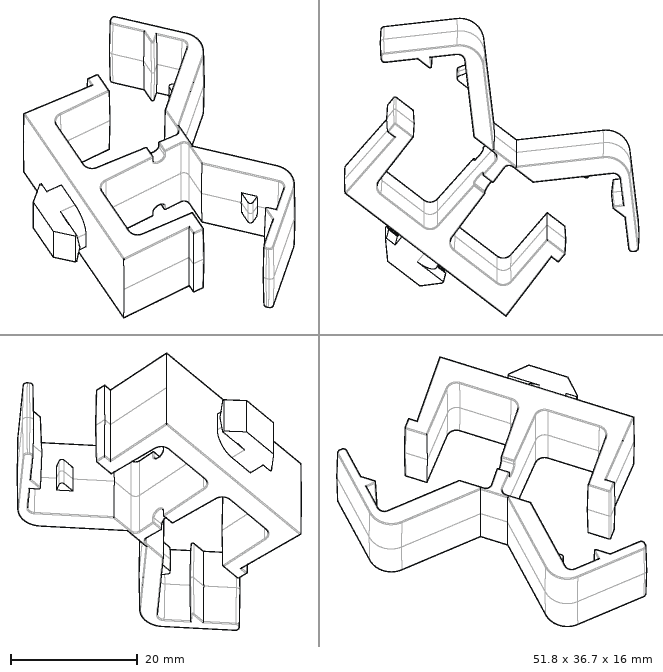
import cadquery as cq
import math

height = 16.0
half_height = height / 2
draft_angle = 0.7
edge_round = 0.15

base_y = 5.5
floor_y = 9.05
base_half_width = 16.3
wall_outer_top_x = 15.9
wall_inner_top_x = 13.35
wall_inner_bottom_x = 13.1
lip_outer_x = 17.3
lip_under_y = 17.45
lip_top_y = 19.5
lip_radius = 0.25
channel_radius = 1.55

web_half_bottom = 1.65
web_half_top = 1.0
web_top_radius = 0.95
notch_y = 20.3
notch_radius = 1.05
notch_depth = 2.1

wing_under_y = 25.2
valley_y = 25.8
valley_half_width = 2.2
ridge_x = 14.7
inner_arm_thickness = 3.1
outer_arm_thickness = 1.75
ridge_radius = 3.85
ridge_inner_radius = 1.15
wing_span = 51.75
tip_radius = 0.6

catch_root_x = 19.25
catch_under_y = 29.7
catch_tip_radius = 0.25
stop_half_height = 2.65
stop_root_x = 12.45
stop_tip_x = 13.55
stop_under_y = 29.8
stop_tip_radius = 0.45

foot_half_height = 3.5
head_half_width = 5.75
head_tip_half_width = 3.25
head_taper_y = 2.6
head_edge_y = 2.85
head_crest_y = 3.4
neck_half_width = 4.0
foot_overlap = 0.5


def unit_vector(start, end):
    length = math.dist(start, end)
    return ((end[0] - start[0]) / length, (end[1] - start[1]) / length)


def rounded_wire(corners, z):
    """Closed wire at height z from (x, y, radius) corners; a radius of zero stays sharp."""
    stretches = []
    for i, (x, y, radius) in enumerate(corners):
        corner = (x, y)
        if radius == 0:
            stretches.append([corner])
            continue
        to_previous = unit_vector(corner, corners[i - 1][:2])
        to_next = unit_vector(corner, corners[(i + 1) % len(corners)][:2])
        cosine = to_previous[0] * to_next[0] + to_previous[1] * to_next[1]
        half_angle = math.acos(cosine) / 2
        setback = radius / math.tan(half_angle)
        depth = radius / math.sin(half_angle) - radius
        inward = unit_vector((0, 0), (to_previous[0] + to_next[0], to_previous[1] + to_next[1]))
        stretches.append([
            (x + setback * to_previous[0], y + setback * to_previous[1]),
            (x + depth * inward[0], y + depth * inward[1]),
            (x + setback * to_next[0], y + setback * to_next[1]),
        ])
    outline = cq.Workplane("XY", origin=(0, 0, z)).moveTo(*stretches[0][-1])
    for stretch in stretches[1:]:
        outline = outline.lineTo(*stretch[0])
        if len(stretch) == 3:
            outline = outline.threePointArc(stretch[1], stretch[2])
    first = stretches[0]
    if len(first) == 3:
        outline = outline.lineTo(*first[0]).threePointArc(first[1], first[2])
    return outline.close().val()


def inset_corners(corners, distance):
    """Move every side of a counter-clockwise outline inward by the distance."""
    moved = []
    for i, (x, y, radius) in enumerate(corners):
        before = unit_vector(corners[i - 1][:2], (x, y))
        after = unit_vector((x, y), corners[(i + 1) % len(corners)][:2])
        share = distance / (1 + before[0] * after[0] + before[1] * after[1])
        shift_x = -share * (before[1] + after[1])
        shift_y = share * (before[0] + after[0])
        moved.append((x + shift_x, y + shift_y, radius))
    return moved


def drafted_prism(corners, half_thickness):
    """Prism that is widest at Z = 0 and narrows by the draft angle towards both ends."""
    draft_inset = half_thickness * math.tan(math.radians(draft_angle))
    middle_wire = rounded_wire(corners, 0)
    top_wire = rounded_wire(inset_corners(corners, draft_inset), half_thickness)
    upper = cq.Workplane(cq.Solid.makeLoft([middle_wire, top_wire], True))
    return upper.union(upper.mirror("XY"))


inner_arm_top = valley_y - valley_half_width
inner_arm_under = inner_arm_top - inner_arm_thickness * math.sqrt(2)
ridge_y = ridge_x + inner_arm_top
outer_arm_top = ridge_x + ridge_y
outer_arm_under = outer_arm_top - outer_arm_thickness * math.sqrt(2)
ridge_inner_x = (outer_arm_under - inner_arm_under) / 2
tip_x = wing_span / 2 + tip_radius * (math.sqrt(2) - 1)
tip_step = outer_arm_thickness / math.sqrt(2)
tip_y = outer_arm_top - tip_x
catch_root_y = outer_arm_under - catch_root_x
stop_under_x = stop_under_y - inner_arm_under
catch_tip_x = catch_root_x - (catch_root_y - catch_under_y)


def make_body():
    trim = 0.5
    right_half = [
        (base_half_width, base_y - trim, 0),
        (base_half_width, base_y, 0),
        (wall_outer_top_x, lip_under_y, 0),
        (lip_outer_x, lip_under_y, 0),
        (lip_outer_x, lip_top_y, lip_radius),
        (wall_inner_top_x, lip_top_y, 0),
        (wall_inner_bottom_x, floor_y, channel_radius),
        (web_half_bottom, floor_y, channel_radius),
        (web_half_top, wing_under_y, web_top_radius),
        (wing_under_y - inner_arm_under, wing_under_y, 0),
        (ridge_inner_x, ridge_inner_x + inner_arm_under, ridge_inner_radius),
        (catch_root_x, catch_root_y, 0),
        (catch_tip_x, catch_under_y, catch_tip_radius),
        (outer_arm_under - catch_under_y, catch_under_y, 0),
        (tip_x - tip_step, tip_y - tip_step, tip_radius),
        (tip_x, tip_y, tip_radius),
        (ridge_x, ridge_y, ridge_radius),
        (valley_half_width, valley_y, 0),
    ]
    left_half = [(-x, y, radius) for x, y, radius in reversed(right_half)]
    body = drafted_prism(right_half + left_half, half_height)
    trim_block = cq.Workplane("XY").box(
        2 * wing_span, base_y, 2 * height, centered=(True, False, True)
    )
    return body.cut(trim_block)


def make_notches():
    """Round-bottomed notches across the top and bottom edges of the web."""
    centre_z = half_height - notch_depth + notch_radius
    cutter = (
        cq.Workplane("YZ")
        .moveTo(notch_y - notch_radius, height)
        .lineTo(notch_y - notch_radius, centre_z)
        .threePointArc((notch_y, centre_z - notch_radius), (notch_y + notch_radius, centre_z))
        .lineTo(notch_y + notch_radius, height)
        .close()
        .extrude(2 * web_half_bottom, both=True)
    )
    return cutter.union(cutter.mirror("XY"))


def make_stop():
    """Short stop on the underside of the right inner arm."""
    embed = inner_arm_thickness / 4
    corners = [
        (stop_under_x, stop_under_y, 0),
        (stop_tip_x, stop_under_y, stop_tip_radius),
        (stop_root_x, stop_root_x + inner_arm_under, 0),
        (stop_root_x - embed, stop_root_x + inner_arm_under + embed, 0),
        (stop_under_x - embed, stop_under_y + embed, 0),
    ]
    return drafted_prism(corners, stop_half_height)


def make_foot():
    side_profile = [
        (-head_tip_half_width, 0),
        (head_tip_half_width, 0),
        (head_half_width, head_taper_y),
        (head_half_width, head_crest_y),
        (-head_half_width, head_crest_y),
        (-head_half_width, head_taper_y),
    ]
    crest_profile = [
        (0, -foot_half_height),
        (0, foot_half_height),
        (head_edge_y, foot_half_height),
        (head_crest_y, 0),
        (head_edge_y, -foot_half_height),
    ]
    head = cq.Workplane("XY").polyline(side_profile).close().extrude(foot_half_height, both=True)
    crest = cq.Workplane("YZ").polyline(crest_profile).close().extrude(head_half_width, both=True)

    neck_top = base_y + foot_overlap
    neck = (
        cq.Workplane("XZ")
        .rect(2 * neck_half_width, 2 * foot_half_height)
        .extrude(-(neck_top - head_taper_y))
        .translate((0, head_taper_y, 0))
    )
    for direction in (1, -1):
        corner = (direction * neck_half_width, neck_top, direction * foot_half_height)
        neck = neck.edges("|Y").edges(cq.NearestToPointSelector(corner)).fillet(foot_half_height)
    return head.intersect(crest).union(neck)


notched_body = make_body().cut(make_notches())
rim_reach = notch_radius + edge_round
notch_rim = cq.selectors.BoxSelector(
    (-web_half_bottom, notch_y - rim_reach, -half_height - edge_round),
    (web_half_bottom, notch_y + rim_reach, half_height + edge_round),
)
rim_edges = notched_body.edges(notch_rim).edges("not |X").vals()
flat_edges = notched_body.faces("|Z").edges().vals()
body = notched_body.newObject(rim_edges + flat_edges).fillet(edge_round)
stop = make_stop()
result = body.union(stop).union(stop.mirror("YZ")).union(make_foot())